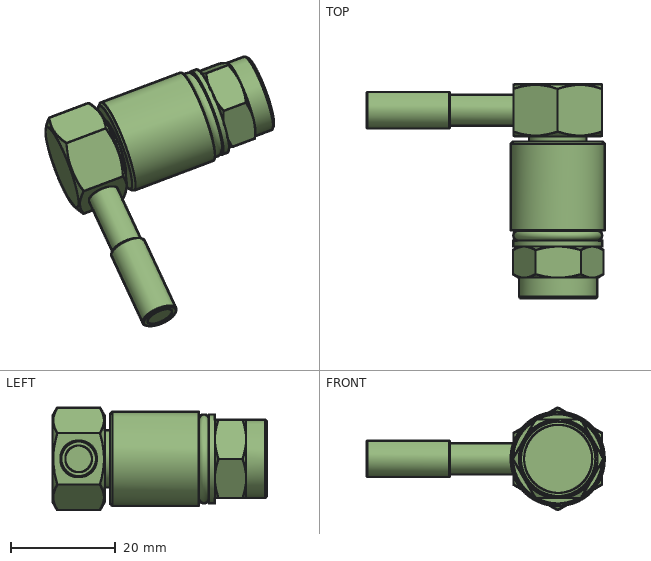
import cadquery as cq
import math

OVERALL_LENGTH = 41.0

BLOCK_END = 10.0
BODY_START = 10.95
BODY_END = 28.0
FLANGE_START = 29.9
FLANGE_END = 31.05
NUT_END = 37.0

BLOCK_FLATS = 16.95
BLOCK_FACE_RADIUS = 8.2
NUT_FLATS = 15.0
NUT_FACE_RADIUS = 7.5
BLOCK_TURN = 30
NUT_TURN = 0
NUT_OFFSET = 0.1
HEX_CHAMFER_ANGLE = 30

NECK_RADIUS = 5.5
BODY_RADIUS = 9.0
BODY_BACK_CHAMFER = 0.5
BODY_FRONT_CHAMFER = 0.1
CORE_RADIUS = 7.83
FLANGE_RADIUS = 8.5
SEAL_RADIUS = 8.5
SEAL_SECTION_RADIUS = (FLANGE_START - BODY_END) / 2
COLLAR_RADIUS = NUT_FLATS / 2
COLLAR_CHAMFER = 0.4
COLLAR_RECESS_RADIUS = 6.5
END_RECESS_DEPTH = 0.1

CABLE_LENGTH = 36.5
CABLE_RADIUS = 3.0
SLEEVE_LENGTH = 15.92
SLEEVE_RADIUS = 3.5
SLEEVE_CHAMFER = 0.2
SLEEVE_RECESS_RADIUS = 2.55


def disc(start, end, radius):
    """Cylinder on the main axis between two stations."""
    return cq.Workplane("XZ", origin=(0, -start, 0)).circle(radius).extrude(end - start)


def chamfered_hexagon(start, end, flats, face_radius, turn):
    """Hexagonal prism whose corners are turned down by a cone at both ends."""
    length = end - start
    corner_radius = flats / math.sqrt(3)
    drop = (corner_radius - face_radius) * math.tan(math.radians(HEX_CHAMFER_ANGLE))
    prism = (
        cq.Workplane("XZ", origin=(0, -start, 0))
        .polygon(6, 2 * corner_radius)
        .extrude(length)
        .rotate((0, 0, 0), (0, 1, 0), turn)
    )
    envelope = (
        cq.Workplane("XY")
        .moveTo(0, -start)
        .lineTo(face_radius, -start)
        .lineTo(corner_radius, -start - drop)
        .lineTo(corner_radius, -end + drop)
        .lineTo(face_radius, -end)
        .lineTo(0, -end)
        .close()
        .revolve(360, (0, 0, 0), (0, 1, 0))
    )
    return prism.intersect(envelope)


def main_body():
    body = disc(BODY_START, BODY_END, BODY_RADIUS)
    body = body.faces(">Y").chamfer(BODY_BACK_CHAMFER)
    return body.faces("<Y").chamfer(BODY_FRONT_CHAMFER)


def seal_ring():
    ring_radius = SEAL_RADIUS - SEAL_SECTION_RADIUS
    middle_y = -(BODY_END + FLANGE_START) / 2
    return (
        cq.Workplane("XY")
        .moveTo(ring_radius, middle_y)
        .circle(SEAL_SECTION_RADIUS)
        .revolve(360, (0, 0, 0), (0, 1, 0))
    )


def clamping_nut():
    nut = chamfered_hexagon(FLANGE_END, NUT_END, NUT_FLATS, NUT_FACE_RADIUS, NUT_TURN)
    collar = disc(NUT_END, OVERALL_LENGTH, COLLAR_RADIUS)
    collar = collar.faces("<Y").chamfer(COLLAR_CHAMFER)
    recess = disc(OVERALL_LENGTH - END_RECESS_DEPTH, OVERALL_LENGTH, COLLAR_RECESS_RADIUS)
    return nut.union(collar).cut(recess).translate((NUT_OFFSET, 0, 0))


def cable():
    axis_y = -BLOCK_END / 2
    start = cq.Workplane("YZ", origin=(-CABLE_LENGTH, axis_y, 0))
    core = start.circle(CABLE_RADIUS).extrude(CABLE_LENGTH)
    sleeve = start.circle(SLEEVE_RADIUS).extrude(SLEEVE_LENGTH)
    sleeve = sleeve.faces("<X or >X").chamfer(SLEEVE_CHAMFER)
    recess = start.circle(SLEEVE_RECESS_RADIUS).extrude(END_RECESS_DEPTH)
    return core.union(sleeve).cut(recess)


result = (
    chamfered_hexagon(0, BLOCK_END, BLOCK_FLATS, BLOCK_FACE_RADIUS, BLOCK_TURN)
    .union(disc(BLOCK_END, BODY_START, NECK_RADIUS))
    .union(main_body())
    .union(disc(BODY_END, FLANGE_START, CORE_RADIUS))
    .union(seal_ring())
    .union(disc(FLANGE_START, FLANGE_END, FLANGE_RADIUS))
    .union(clamping_nut())
    .union(cable())
)